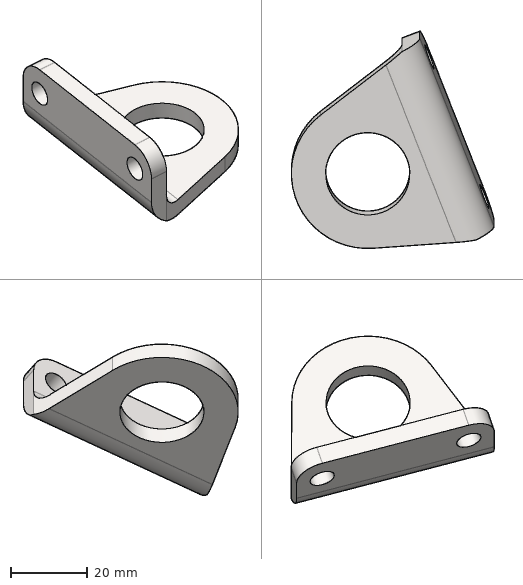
import cadquery as cq
import math

width = 54.0
depth = 45.0
height = 25.0
thickness = 5.0

inner_bend_radius = 5.0
outer_bend_radius = inner_bend_radius + thickness

eye_radius = 20.0
eye_hole_diameter = 22.0
eye_center_y = depth - eye_radius

wall_corner_radius = 7.0
wall_hole_diameter = 6.6
wall_hole_spacing = 40.0
wall_hole_height = 17.0


def bent_strip():
    """L-shaped strip of constant thickness, running the full width."""
    return (
        cq.Workplane("YZ")
        .moveTo(depth, 0)
        .lineTo(outer_bend_radius, 0)
        .radiusArc((0, outer_bend_radius), outer_bend_radius)
        .lineTo(0, height)
        .lineTo(thickness, height)
        .lineTo(thickness, outer_bend_radius)
        .radiusArc((outer_bend_radius, thickness), -inner_bend_radius)
        .lineTo(depth, thickness)
        .close()
        .extrude(width / 2, both=True)
    )


def plan_outline():
    """Plan shape: full-width wall, then sides tangent to the round eye."""
    half_width = width / 2
    rise = eye_center_y - thickness
    corner_distance = math.hypot(half_width, rise)
    tangent_angle = math.acos(eye_radius / corner_distance) - math.atan2(rise, half_width)
    tangent_x = eye_radius * math.cos(tangent_angle)
    tangent_y = eye_center_y + eye_radius * math.sin(tangent_angle)
    return (
        cq.Workplane("XY")
        .moveTo(-half_width, 0)
        .lineTo(half_width, 0)
        .lineTo(half_width, thickness)
        .lineTo(tangent_x, tangent_y)
        .threePointArc((0, depth), (-tangent_x, tangent_y))
        .lineTo(-half_width, thickness)
        .close()
        .extrude(height)
    )


def eye_hole():
    return (
        cq.Workplane("XY")
        .center(0, eye_center_y)
        .circle(eye_hole_diameter / 2)
        .extrude(thickness)
    )


def wall_holes():
    half_spacing = wall_hole_spacing / 2
    return (
        cq.Workplane("XZ")
        .pushPoints([(-half_spacing, wall_hole_height), (half_spacing, wall_hole_height)])
        .circle(wall_hole_diameter / 2)
        .extrude(-thickness)
    )


bracket = bent_strip().intersect(plan_outline())
bracket = bracket.faces(">Z").edges("|Y").fillet(wall_corner_radius)
result = bracket.cut(eye_hole()).cut(wall_holes())